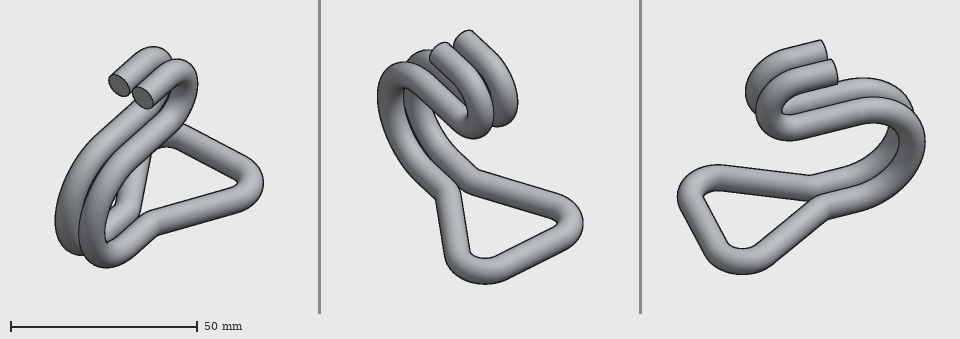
import cadquery as cq
import math

overall_length = 65.0
wire_diameter = 7.0
wire_spacing = 8.0
main_bend_radius = 16.0
tip_bend_radius = 8.5
shank_length = 16.5
tip_length = 10.0
loop_bar_length = 19.05
loop_bend_radius = 7.5
leg_bend_radius = 5.0
leg_angle = math.radians(30)

wire_radius = wire_diameter / 2
wire_x = wire_spacing / 2
bar_y = overall_length - main_bend_radius - wire_diameter
bar_end_x = loop_bar_length / 2
loop_bend_y = bar_y - loop_bend_radius
shank_z = 2 * main_bend_radius
tip_z = shank_z + 2 * tip_bend_radius


def loop_bend_point(angle):
    """Point on the loop corner, with the angle measured from +X."""
    return cq.Vector(
        bar_end_x + loop_bend_radius * math.cos(angle),
        loop_bend_y + loop_bend_radius * math.sin(angle),
        0,
    )


def leg_bend_point(angle):
    """Point on the leg bend, with the angle measured from -X."""
    return cq.Vector(
        wire_x + leg_bend_radius * (1 - math.cos(angle)),
        leg_bend_y + leg_bend_radius * math.sin(angle),
        0,
    )


def hook_point(y, z):
    """Point in the plane of one hook wire."""
    return cq.Vector(wire_x, y, z)


leg_top = loop_bend_point(-leg_angle)
leg_corner_y = leg_top.y - (leg_top.x - wire_x) / math.tan(leg_angle)
leg_bend_y = leg_corner_y - leg_bend_radius * math.tan(leg_angle / 2)

bar_middle = cq.Vector(0, bar_y, 0)
bar_end = loop_bend_point(math.pi / 2)
loop_bend_middle = loop_bend_point((math.pi / 2 - leg_angle) / 2)
leg_bottom = leg_bend_point(leg_angle)
leg_bend_middle = leg_bend_point(leg_angle / 2)
leg_bend_end = leg_bend_point(0)
main_bend_start = hook_point(0, 0)
main_bend_middle = hook_point(-main_bend_radius, main_bend_radius)
main_bend_end = hook_point(0, shank_z)
shank_end = hook_point(shank_length, shank_z)
tip_bend_middle = hook_point(shank_length + tip_bend_radius, shank_z + tip_bend_radius)
tip_bend_end = hook_point(shank_length, tip_z)
tip_end = hook_point(shank_length - tip_length, tip_z)

centreline = cq.Wire.assembleEdges([
    cq.Edge.makeLine(bar_middle, bar_end),
    cq.Edge.makeThreePointArc(bar_end, loop_bend_middle, leg_top),
    cq.Edge.makeLine(leg_top, leg_bottom),
    cq.Edge.makeThreePointArc(leg_bottom, leg_bend_middle, leg_bend_end),
    cq.Edge.makeLine(leg_bend_end, main_bend_start),
    cq.Edge.makeThreePointArc(main_bend_start, main_bend_middle, main_bend_end),
    cq.Edge.makeLine(main_bend_end, shank_end),
    cq.Edge.makeThreePointArc(shank_end, tip_bend_middle, tip_bend_end),
    cq.Edge.makeLine(tip_bend_end, tip_end),
])

half_hook = (
    cq.Workplane("YZ", origin=bar_middle.toTuple())
    .circle(wire_radius)
    .sweep(cq.Workplane(centreline))
)
result = half_hook.union(half_hook.mirror("YZ"))